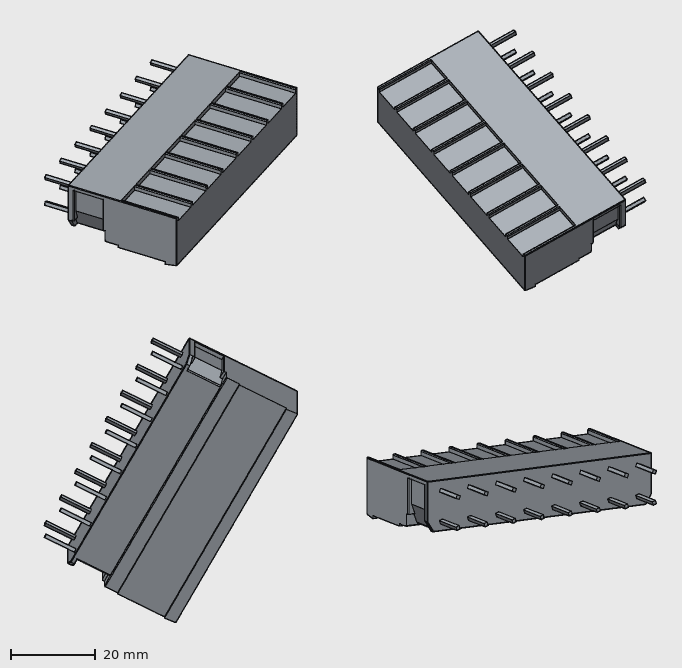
import cadquery as cq

length_y = 60.95
height = 14.25
body_depth = 29.1
half_y = length_y / 2
poles = 8
pitch = length_y / poles
edge_break = 0.2

front_bottom = height - 12.45
step_bottom = height - 12.9
main_bottom = height - 13.55
foot_end_bottom = height - 13.7
front_end = 9.95
step_end = 13.5
step_chamfer = 0.25
foot_start = 26.0

recess_start = 14.1
recess_depth = 1.2
rib_width = 0.9
end_rib_width = 0.85
rib_chamfer = 0.25

pocket_start = 1.65
pocket_end = 9.25
pocket_top = height - 1.05
pocket_bend = height - 7.55
pocket_depth = 1.0
pocket_foot_depth = 2.75
pocket_foot_chamfer = 0.3
bend_bevel_height = 0.2
bend_bevel_depth = 0.05
mouth_chamfer = 0.25
wide_start = 1.05
wide_top = height - 9.9

corner_width = 1.6
corner_height = 2.45

pin_length = 7.9
pin_root = 0.2
pin_side = 0.9
pin_twist = 20.0
pin_top_row = height - 2.6
pin_row_gap = 7.5


def prism_x(points, x_start, x_end):
    """Extrude a (y, z) outline along X."""
    return cq.Workplane("YZ", origin=(x_start, 0, 0)).polyline(points).close().extrude(x_end - x_start)


def body():
    """Housing block with its stepped underside and snap foot."""
    outline = [
        (0, front_bottom),
        (front_end, front_bottom),
        (front_end, step_bottom + step_chamfer),
        (front_end + step_chamfer, step_bottom),
        (step_end, step_bottom),
        (step_end, main_bottom),
        (foot_start, main_bottom),
        (foot_start, 0),
        (body_depth, foot_end_bottom),
        (body_depth, height),
        (0, height),
    ]
    return cq.Workplane("XZ", origin=(0, half_y, 0)).polyline(outline).close().extrude(length_y)


def corner_cut():
    """Wedge that bevels the lower -Y corner of the pin face."""
    points = [
        (-half_y, front_bottom),
        (-half_y + corner_width, front_bottom),
        (-half_y, front_bottom + corner_height),
    ]
    return prism_x(points, 0, wide_start)


def side_pocket():
    """Pocket in the -Y side: flat floor above, sloping inward below, wider near the bottom."""
    floor = -half_y + pocket_depth
    foot = -half_y + pocket_foot_depth
    section = [
        (-half_y, pocket_top),
        (floor, pocket_top),
        (floor, pocket_bend + bend_bevel_height / 2),
        (floor + bend_bevel_depth, pocket_bend - bend_bevel_height / 2),
        (foot, front_bottom + pocket_foot_chamfer),
        (foot + pocket_foot_chamfer, front_bottom),
        (-half_y, front_bottom),
    ]
    pocket = prism_x(section, pocket_start, pocket_end)
    mouth = [
        (pocket_start - mouth_chamfer, -half_y),
        (pocket_end + mouth_chamfer, -half_y),
        (pocket_end, -half_y + mouth_chamfer),
        (pocket_start, -half_y + mouth_chamfer),
    ]
    pocket = pocket.union(
        cq.Workplane("XY", origin=(0, 0, front_bottom))
        .polyline(mouth).close().extrude(pocket_top - front_bottom)
    )
    lower_space = cq.Workplane("XY").box(body_depth, length_y, wide_top, centered=(True, True, False))
    wide_part = prism_x(section, wide_start, front_end).intersect(lower_space)
    return pocket.union(wide_part)


def top_recess(y_low, y_high):
    """Recess open at +X, flared where it meets the top face so that the ribs have bevelled tops."""
    floor = height - recess_depth
    flare_start = height - rib_chamfer
    section = [
        (y_low, floor),
        (y_low, flare_start),
        (y_low - rib_chamfer, height),
        (y_high + rib_chamfer, height),
        (y_high, flare_start),
        (y_high, floor),
    ]
    return prism_x(section, recess_start, body_depth)


def pin(y, z, twist):
    """Square pin along X, turned about its own axis."""
    return (
        cq.Workplane("YZ", origin=(-pin_length, y, z))
        .transformed(rotate=(0, 0, twist))
        .rect(pin_side, pin_side)
        .extrude(pin_length + pin_root)
    )


result = body()
corner = corner_cut()
result = result.cut(corner).cut(corner.mirror("XZ"))
result = result.faces("<X").edges().chamfer(edge_break)
result = result.faces(">Z").edges("|X").chamfer(edge_break)
result = result.faces(">X").edges("|Z").chamfer(edge_break)

pocket = side_pocket()
result = result.cut(pocket).cut(pocket.mirror("XZ"))

inner_limit = half_y - end_rib_width
for pole in range(poles):
    y_edge = -half_y + pole * pitch
    y_low = max(y_edge + rib_width / 2, -inner_limit)
    y_high = min(y_edge + pitch - rib_width / 2, inner_limit)
    result = result.cut(top_recess(y_low, y_high))

for pole in range(poles):
    y = -half_y + (pole + 0.5) * pitch
    result = result.union(pin(y, pin_top_row, pin_twist))
    result = result.union(pin(y, pin_top_row - pin_row_gap, -pin_twist))